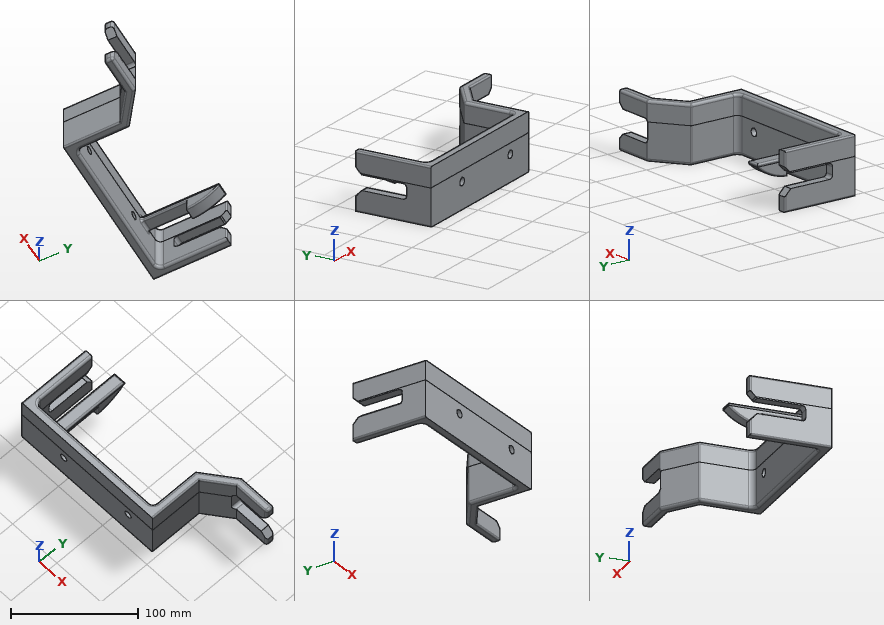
import cadquery as cq
import math

height = 50.8
wall = 8.0
back_width = 148.2
left_arm_reach = 69.5
total_length = 206.4
right_arm_reach = 76.4
slant_start_y = 54.7
slant_end_x = 169.5
inner_corner_radius = 4.7
inner_edge_radius = 2.5
bend_radius = 1.5
outer_edge_radius = 1.35
right_end_radius = 2.5
left_end_radius = 1.2

parting_z = 33.0

left_slot_width = 13.0
left_slot_end_y = 22.3
left_flare = 6.0
right_slot_width = 20.5
right_slot_end_x = 168.8
right_flare = 6.5
slot_corner_radius = 3.0

hole_diameter = 6.8
hole_xs = (47.5, 120.3)
hole_z = 23.5

finger_x = 30.1
finger_width = 11.5
finger_reach = 77.8
finger_top = 35.5
finger_thickness = 6.0
hook_back_y = 48.3
hook_bottom = 19.8
hook_nose_z = 32.8
hook_sag = 2.9
finger_edge_radius = 1.5
underside_edge_radius = 1.14
finger_root_radius = 2.5

pick_reach = 0.2
overrun = 2.0

right_arm_inner_x = back_width - wall
mid_z = height / 2
slant_run = slant_end_x - right_arm_inner_x
slant_rise = right_arm_reach - slant_start_y
slant_angle = math.atan2(slant_rise, slant_run)
first_bend_shift = wall * math.tan((math.pi / 2 - slant_angle) / 2)
second_bend_shift = wall * math.tan(slant_angle / 2)
inner_points = [
    (total_length, right_arm_reach),
    (slant_end_x, right_arm_reach),
    (right_arm_inner_x, slant_start_y),
    (right_arm_inner_x, wall),
    (wall, wall),
    (wall, left_arm_reach),
]
outer_points = [
    (0, left_arm_reach),
    (0, 0),
    (back_width, 0),
    (back_width, slant_start_y - first_bend_shift),
    (slant_end_x + second_bend_shift, right_arm_reach - wall),
    (total_length, right_arm_reach - wall),
]


def vertical_edge(point):
    """Select the full-height edge standing at a plan point."""
    x, y = point
    low = (x - pick_reach, y - pick_reach, 0)
    high = (x + pick_reach, y + pick_reach, height)
    return cq.selectors.BoxSelector(low, high)


def rim_edges(body, points):
    """Top and bottom edges whose midpoints lie on the straight runs between plan points."""
    found = []
    for (x1, y1), (x2, y2) in zip(points, points[1:]):
        for z in (0, height):
            midpoint = ((x1 + x2) / 2, (y1 + y2) / 2, z)
            found.append(body.edges(cq.selectors.NearestToPointSelector(midpoint)).val())
    return found


def bent_strip():
    strip = cq.Workplane("XY").polyline(inner_points + outer_points).close().extrude(height)
    for corner in inner_points[3:5]:
        strip = strip.edges(vertical_edge(corner)).fillet(inner_corner_radius)
    return strip


def round_rims(strip):
    inner_rims = rim_edges(strip, inner_points)
    strip = cq.Workplane(strip.val().fillet(inner_edge_radius, inner_rims))
    outer_rims = rim_edges(strip, outer_points[:2]) + rim_edges(strip, outer_points[2:])
    return cq.Workplane(strip.val().fillet(outer_edge_radius, outer_rims))


def round_bends(strip):
    """Soften the upright edges where the right arm changes direction."""
    for bend in inner_points[1:3] + outer_points[3:5]:
        strip = strip.edges(vertical_edge(bend)).fillet(bend_radius)
    return strip


def round_right_end(strip):
    return strip.faces(">X").edges().fillet(right_end_radius)


def round_left_end(strip):
    """Trim the left end to rounded upright corners, keeping its top and bottom square."""
    rounded = bent_strip()
    for corner in (inner_points[-1], outer_points[0]):
        rounded = rounded.edges(vertical_edge(corner)).fillet(left_end_radius)
    return strip.intersect(rounded)


def slot_outline(plane, closed_end, open_end, width, flare):
    """Slot outline whose mouth widens at 45 degrees up to the open end."""
    half = width / 2
    mouth_half = half + flare + overrun
    return (
        cq.Workplane(plane, origin=(0, 0, mid_z))
        .moveTo(closed_end, -half)
        .lineTo(open_end - flare, -half)
        .lineTo(open_end + overrun, -mouth_half)
        .lineTo(open_end + overrun, mouth_half)
        .lineTo(open_end - flare, half)
        .lineTo(closed_end, half)
        .close()
    )


def left_slot():
    outline = slot_outline("YZ", left_slot_end_y, left_arm_reach, left_slot_width, left_flare)
    slot = outline.extrude(wall)
    return slot.faces("<Y").edges("|X").fillet(slot_corner_radius)


def right_slot():
    outline = slot_outline("XZ", right_slot_end_x, total_length, right_slot_width, right_flare)
    slot = outline.extrude(-right_arm_reach)
    return slot.faces("<X").edges("|Y").fillet(slot_corner_radius)


def mounting_holes():
    places = [(x, hole_z) for x in hole_xs]
    return cq.Workplane("XZ").pushPoints(places).circle(hole_diameter / 2).extrude(-wall)


def latch_finger():
    """Beam with a hook whose curved underside rises to the nose."""
    beam_bottom = finger_top - finger_thickness
    chord_y = finger_reach - hook_back_y
    chord_z = hook_nose_z - hook_bottom
    chord = math.hypot(chord_y, chord_z)
    sag_point = (
        (hook_back_y + finger_reach) / 2 + hook_sag * chord_z / chord,
        (hook_bottom + hook_nose_z) / 2 - hook_sag * chord_y / chord,
    )
    finger = (
        cq.Workplane("YZ", origin=(finger_x - finger_width / 2, 0, 0))
        .moveTo(wall / 2, finger_top)
        .lineTo(wall / 2, beam_bottom)
        .lineTo(hook_back_y, beam_bottom)
        .lineTo(hook_back_y, hook_bottom)
        .threePointArc(sag_point, (finger_reach, hook_nose_z))
        .lineTo(finger_reach, finger_top)
        .close()
        .extrude(finger_width)
    )
    finger = finger.faces(">Z").edges("not <Y").fillet(finger_edge_radius)
    underside = cq.selectors.BoxSelector(
        (0, wall, 0),
        (total_length, finger_reach - pick_reach, beam_bottom + pick_reach),
    )
    return finger.faces("<X or >X").edges(underside).fillet(underside_edge_radius)


def blend_finger_root(bracket):
    root = cq.selectors.BoxSelector(
        (finger_x - finger_width, wall - pick_reach, finger_top - 2 * finger_thickness),
        (finger_x + finger_width, wall + pick_reach, finger_top + finger_thickness),
    )
    return bracket.edges(root).fillet(finger_root_radius)


def whole_bracket():
    strip = round_bends(round_rims(bent_strip()))
    strip = round_left_end(round_right_end(strip))
    for cutter in (left_slot(), right_slot(), mounting_holes()):
        strip = strip.cut(cutter)
    return blend_finger_root(strip.union(latch_finger()))


def layer(bottom, top):
    """Block between two heights, wide enough to cover the whole bracket."""
    side = 3 * total_length
    return cq.Workplane("XY", origin=(0, 0, bottom)).rect(side, side).extrude(top - bottom)


def lower_half(bracket):
    return bracket.intersect(layer(0, parting_z))


def upper_half(bracket):
    return bracket.intersect(layer(parting_z, height))


bracket = whole_bracket()
lower_body = lower_half(bracket)
upper_body = upper_half(bracket)
result = cq.Compound.makeCompound([lower_body.val(), upper_body.val()])